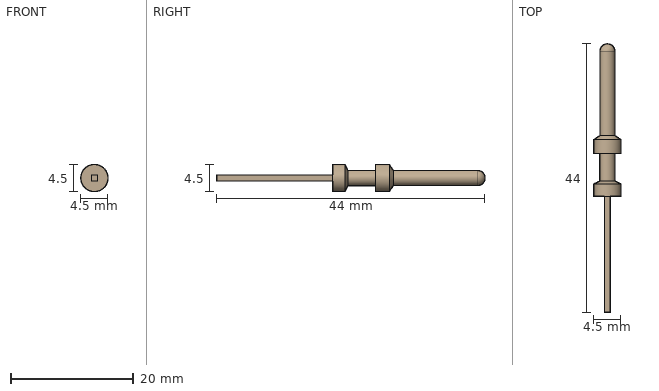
import cadquery as cq

total_length = 44.0
collar_diameter = 4.5
pin_diameter = 2.5
neck_diameter = 2.55
tail_width = 1.0
tail_length = 19.0
collar_pitch = 7.0

rear_collar_straight = 2.02
rear_collar_cone = 0.5
front_collar_straight = 2.3
front_collar_cone = 0.65

pin_radius = pin_diameter / 2
neck_radius = neck_diameter / 2
rear_collar_start = tail_length
front_collar_start = rear_collar_start + collar_pitch


def rod(start, end, radius):
    """Cylinder around the Y axis from start to end."""
    return cq.Workplane("XZ", origin=(0, start, 0)).circle(radius).extrude(start - end)


def collar(start, straight_length, cone_length, shaft_radius):
    """Collar with a flat -Y face and a cone narrowing to the shaft on its +Y side."""
    radius = collar_diameter / 2
    cone_start = start + straight_length
    cone_end = cone_start + cone_length
    return (
        cq.Workplane("XY")
        .moveTo(0, start)
        .lineTo(radius, start)
        .lineTo(radius, cone_start)
        .lineTo(shaft_radius, cone_end)
        .lineTo(0, cone_end)
        .close()
        .revolve(360, (0, 0, 0), (0, 1, 0))
    )


tail = cq.Workplane("XZ").rect(tail_width, tail_width).extrude(-tail_length)

neck = rod(rear_collar_start, front_collar_start, neck_radius)

tip_center = total_length - pin_radius
pin = rod(front_collar_start, tip_center, pin_radius)
tip = (
    cq.Workplane("XY")
    .moveTo(0, tip_center)
    .lineTo(pin_radius, tip_center)
    .radiusArc((0, total_length), -pin_radius)
    .close()
    .revolve(360, (0, 0, 0), (0, 1, 0))
)

rear_collar = collar(rear_collar_start, rear_collar_straight, rear_collar_cone, neck_radius)
front_collar = collar(front_collar_start, front_collar_straight, front_collar_cone, pin_radius)

result = tail.union(rear_collar).union(neck).union(front_collar).union(pin).union(tip)